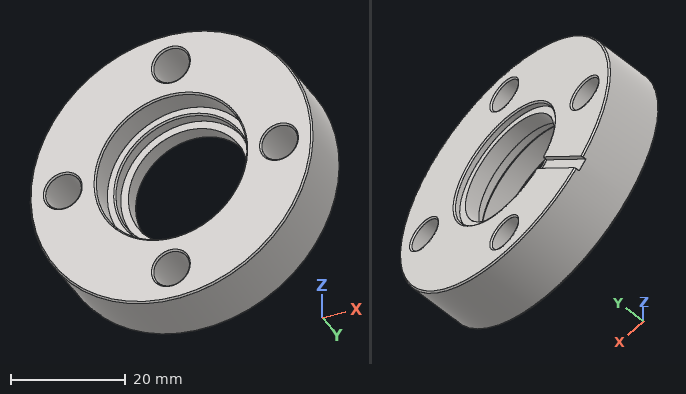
import cadquery as cq

flange_radius = 27.0
flange_thickness = 11.9
edge_chamfer = 0.3
front_face = -flange_thickness / 2
back_face = flange_thickness / 2

seat_radius = 14.35
seat_depth = 5.0
bore_radius = 12.85

hole_count = 4
hole_radius = 3.4
hole_circle_radius = 20.65

groove_width = 2.45
groove_depth = 0.95
groove_angle = 45.0

ring_inner_radius = 11.4
ring_front_depth = 7.4
ring_length = 3.2


def cylinder(radius, start_y, length):
    """Cylinder on the Y axis that runs from start_y toward +Y."""
    return cq.Workplane(cq.Solid.makeCylinder(radius, length, cq.Vector(0, start_y, 0), cq.Vector(0, 1, 0)))


def make_mounting_holes():
    hole = cylinder(hole_radius, front_face, flange_thickness).translate((hole_circle_radius, 0, 0))
    holes = cq.Workplane()
    for index in range(hole_count):
        angle = index * 360 / hole_count
        holes = holes.add(hole.rotate((0, 0, 0), (0, 1, 0), angle))
    return holes.vals()


def make_groove():
    """Cutter from the axis out past the rim."""
    groove = cq.Workplane().box(
        2 * flange_radius, groove_depth, groove_width, centered=(False, False, True)
    )
    groove = groove.rotate((0, 0, 0), (0, 1, 0), 180 - groove_angle)
    return groove.translate((0, back_face - groove_depth, 0))


def make_flange():
    flange = cylinder(flange_radius, front_face, flange_thickness)
    flange = flange.cut(cylinder(bore_radius, front_face, flange_thickness))
    flange = flange.cut(cylinder(seat_radius, front_face, seat_depth))
    for hole in make_mounting_holes():
        flange = flange.cut(cq.Workplane(hole))

    flange = flange.faces("<Y or >Y").edges().chamfer(edge_chamfer)
    shoulder_edge = cq.selectors.BoxSelector(
        (-flange_radius, front_face + seat_depth - edge_chamfer, -flange_radius),
        (flange_radius, front_face + seat_depth + edge_chamfer, flange_radius),
    )
    flange = flange.edges(shoulder_edge).edges(cq.selectors.RadiusNthSelector(0)).chamfer(edge_chamfer)
    return flange.cut(make_groove())


def make_ring():
    start_y = front_face + ring_front_depth
    ring = cylinder(bore_radius, start_y, ring_length)
    return ring.cut(cylinder(ring_inner_radius, start_y, ring_length))


flange = make_flange()
ring = make_ring()
result = cq.Compound.makeCompound([flange.val(), ring.val()])